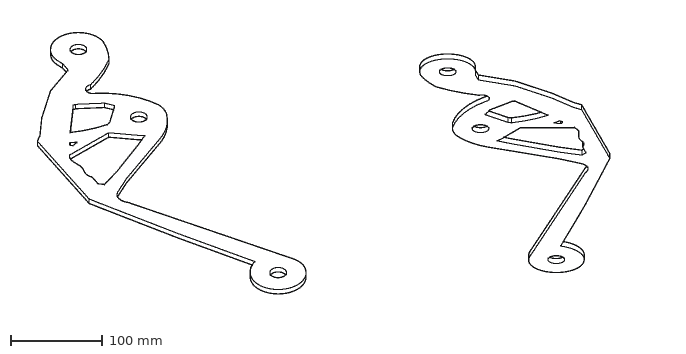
import cadquery as cq

length = 520.0
width = 149.0
thickness = 6.0
boss_radius = 30.5
hole_diameter = 18.0

boss_y = width - boss_radius
left_x = boss_radius
middle_x = 169.5
right_x = length - boss_radius

base_left = (155.0, 0)
base_right = (274.0, 0)


def make_plate():
    """Outline of the bracket, clockwise from the top of the left boss."""
    return (
        cq.Workplane("XY")
        .moveTo(left_x, width)
        .threePointArc((48.0, 145.5), (62.0, 140.0))
        .threePointArc((80.5, 119.0), (93.0, 100.0))
        .threePointArc((101.5, 90.5), (109.0, 97.0))
        .threePointArc((131.0, 128.5), (160.5, 148.0))
        .threePointArc((middle_x, width), (178.5, 148.0))
        .threePointArc((198.0, 138.0), (213.0, 122.5))
        .lineTo(260.5, 54.0)
        .lineTo(276.5, 35.0)
        .threePointArc((288.0, 29.0), (299.0, 34.5))
        .lineTo(473.5, 144.0)
        .threePointArc((481.0, 147.5), (right_x, width))
        .threePointArc((length, boss_y), (right_x, boss_y - boss_radius))
        .threePointArc((476.0, 91.0), (459.5, 105.5))
        .lineTo(375.0, 55.5)
        .lineTo(315.5, 23.0)
        .lineTo(*base_right)
        .lineTo(*base_left)
        .lineTo(147.0, 7.5)
        .lineTo(120.5, 24.0)
        .lineTo(82.0, 55.5)
        .lineTo(57.5, 91.0)
        .lineTo(44.5, 91.0)
        .threePointArc((38.0, 89.0), (left_x, boss_y - boss_radius))
        .threePointArc((0, boss_y), (left_x, width))
        .close()
        .extrude(thickness)
    )


def make_left_window():
    return (
        cq.Workplane("XY")
        .moveTo(116.5, 65.5)
        .lineTo(158.0, 39.0)
        .threePointArc((164.0, 63.5), (165.0, 82.0))
        .lineTo(163.0, 86.0)
        .lineTo(139.0, 105.0)
        .lineTo(129.5, 97.0)
        .lineTo(116.5, 68.5)
        .close()
        .extrude(thickness)
    )


def make_right_window():
    return (
        cq.Workplane("XY")
        .moveTo(179.0, 76.0)
        .lineTo(198.5, 102.5)
        .lineTo(202.0, 108.5)
        .lineTo(214.0, 92.5)
        .lineTo(245.0, 50.0)
        .lineTo(258.5, 27.5)
        .lineTo(254.5, 22.0)
        .lineTo(240.0, 22.0)
        .spline([(229.5, 18.5), (220.0, 20.5), (209.0, 17.5), (194.0, 18.5)], includeCurrent=True)
        .close()
        .extrude(thickness)
    )


def make_teardrop():
    """Small teardrop opening between the windows."""
    return (
        cq.Workplane("XY")
        .moveTo(177.5, 37.5)
        .lineTo(180.5, 30.5)
        .threePointArc((177.5, 28.0), (174.0, 30.5))
        .close()
        .extrude(thickness)
    )


def make_holes():
    hole_points = [(x, boss_y) for x in (left_x, middle_x, right_x)]
    return cq.Workplane("XY").pushPoints(hole_points).circle(hole_diameter / 2).extrude(thickness)


result = make_plate()
for opening in (make_left_window(), make_right_window(), make_teardrop(), make_holes()):
    result = result.cut(opening)